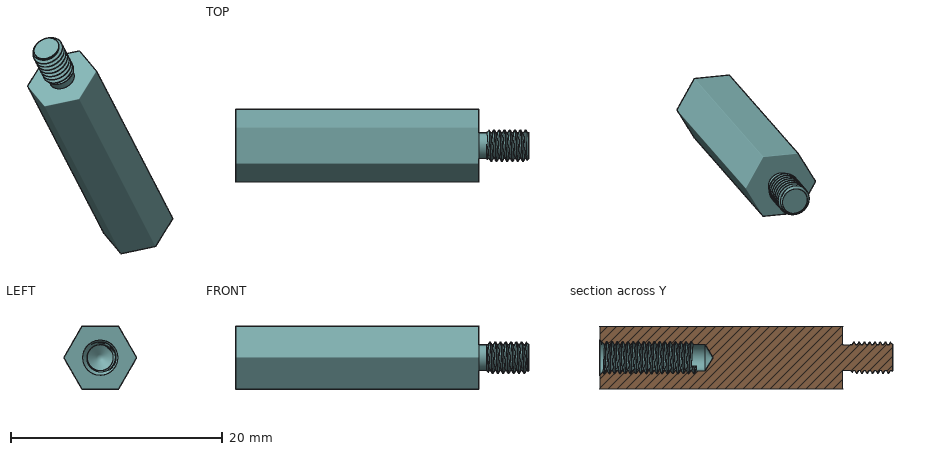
import cadquery as cq
import math


overall_length = 27.75
body_length = 23.05
edge_break = 0.05
across_flats = 6.0
across_corners = across_flats / math.cos(math.radians(30))

pitch = 0.5
major_radius = 1.5
half_flank_angle = math.radians(30)
crest_flat = pitch / 8
root_flat = pitch / 4
thread_depth = (pitch - crest_flat - root_flat) / 2 / math.tan(half_flank_angle)
minor_radius = major_radius - thread_depth

ridge_overlap = 0.03

stud_length = overall_length - body_length
neck_length = 0.72
thread_start = body_length + neck_length
stud_ridge_start = 22.95

taper_reach = 0.55

hole_depth = 10.0
hole_thread_end = hole_depth - 2 * pitch
hole_ridge_start = 0.05
drill_point_half_angle = math.radians(59)
countersink_radius = 1.67
countersink_half_angle = math.radians(45)


def revolve_about_x(profile):
    """Turn a closed list of (x, radius) points into a solid of revolution about X."""
    return cq.Workplane("XY").polyline(profile).close().revolve(360, (0, 0, 0), (1, 0, 0))


def helical_ridge(start, length):
    """Right-handed thread ridge about X, its crest centred on +Y at the start position."""
    base_radius = minor_radius - ridge_overlap
    half_crest = crest_flat / 2
    half_base = half_crest + (major_radius - base_radius) * math.tan(half_flank_angle)
    section = [
        (base_radius, -half_base),
        (major_radius, -half_crest),
        (major_radius, half_crest),
        (base_radius, half_base),
    ]
    helix = cq.Workplane(obj=cq.Wire.makeHelix(pitch, length, major_radius))
    ridge = cq.Workplane("XZ").polyline(section).close().sweep(helix, isFrenet=True)
    return ridge.rotate((0, 0, 0), (1, 1, 1), 120).translate((start, 0, 0))


def hex_body():
    """Hexagonal bar with a corner on +Y and every edge slightly rounded."""
    bar = cq.Workplane("YZ").polygon(6, across_corners).extrude(body_length)
    return bar.edges().fillet(edge_break)


def stud_core():
    """Rod at the minor radius, left plain over the neck."""
    return cq.Workplane("YZ").workplane(offset=body_length).circle(minor_radius).extrude(stud_length)


def stud_thread():
    """Ridge of the stud, trimmed at both ends by 45 degree tapers that rise from the minor radius."""
    envelope = revolve_about_x([
        (thread_start, 0),
        (thread_start, minor_radius),
        (thread_start + taper_reach, minor_radius + taper_reach),
        (overall_length - taper_reach, minor_radius + taper_reach),
        (overall_length, minor_radius),
        (overall_length, 0),
    ])
    ridge_length = overall_length + pitch - stud_ridge_start
    return helical_ridge(stud_ridge_start, ridge_length).intersect(envelope)


def countersunk_bore():
    """Blind bore at the minor radius with a drill point and a countersunk mouth."""
    countersink_depth = (countersink_radius - minor_radius) / math.tan(countersink_half_angle)
    point_length = minor_radius / math.tan(drill_point_half_angle)
    return revolve_about_x([
        (0, 0),
        (0, countersink_radius),
        (countersink_depth, minor_radius),
        (hole_depth, minor_radius),
        (hole_depth + point_length, 0),
    ])


def hole_thread():
    """Ridge that cuts the thread of the hole; it begins in the open space of the countersink."""
    return helical_ridge(hole_ridge_start, hole_thread_end - hole_ridge_start)


result = (
    hex_body()
    .union(stud_core())
    .union(stud_thread())
    .cut(countersunk_bore())
    .cut(hole_thread())
)